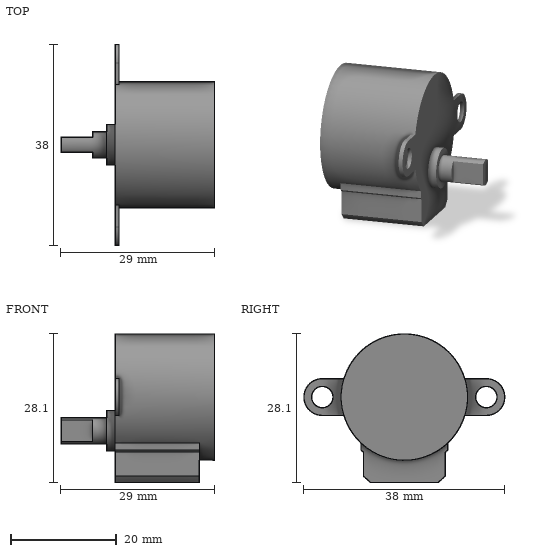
import cadquery as cq

body_diameter = 23.9
body_length = 18.8

ear_span = 38.0
ear_width = 7.0
ear_thickness = 0.8
ear_hole_diameter = 4.0
ear_hole_spacing = ear_span - ear_width

shaft_z = -6.4
shaft_diameter = 5.0
shaft_reach = 10.2
flat_length = 5.95
flat_thickness = 2.9
boss_diameter = 7.7
boss_height = 1.6

cover_length = 15.95
cover_bottom_z = -16.2
cover_half_width = 7.75
lip_half_width = 8.2
lip_edge_z = -10.05
lip_underside_z = -10.4
corner_width = 1.35
corner_height = 1.25


def cylinder_along_x(diameter, x_start, length, z=0):
    plane = cq.Workplane("YZ", origin=(x_start, 0, z))
    return plane.circle(diameter / 2).extrude(length)


def make_ears():
    ears = cq.Workplane("YZ").slot2D(ear_span, ear_width).extrude(ear_thickness)
    holes = (
        cq.Workplane("YZ")
        .pushPoints([(-ear_hole_spacing / 2, 0), (ear_hole_spacing / 2, 0)])
        .circle(ear_hole_diameter / 2)
        .extrude(ear_thickness)
    )
    return ears.cut(holes)


def make_cover():
    right_side = [
        (lip_half_width, 0),
        (lip_half_width, lip_edge_z),
        (cover_half_width, lip_underside_z),
        (cover_half_width, cover_bottom_z + corner_height),
        (cover_half_width - corner_width, cover_bottom_z),
    ]
    left_side = [(-y, z) for y, z in reversed(right_side)]
    return cq.Workplane("YZ").polyline(right_side + left_side).close().extrude(cover_length)


def make_shaft():
    shaft = cylinder_along_x(shaft_diameter, -shaft_reach, shaft_reach, shaft_z)
    round_length = shaft_reach - flat_length
    round_part = cylinder_along_x(shaft_diameter, -round_length, round_length, shaft_z)
    flat_slab = cq.Workplane("XY").box(
        flat_length, flat_thickness, shaft_diameter, centered=(False, True, True)
    ).translate((-shaft_reach, 0, shaft_z))
    return round_part.union(shaft.intersect(flat_slab))


body = cylinder_along_x(body_diameter, 0, body_length)
boss = cylinder_along_x(boss_diameter, -boss_height, boss_height, shaft_z)

result = body.union(make_ears()).union(make_cover()).union(boss).union(make_shaft())